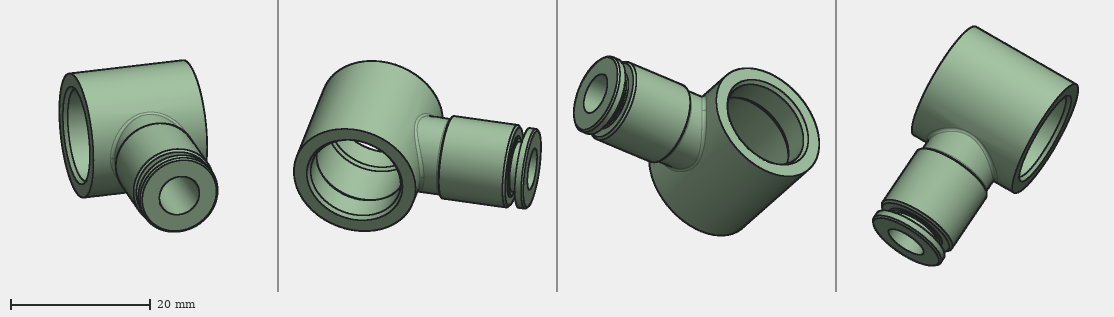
import cadquery as cq

overall_length = 33.2
ring_diameter = 18.0
ring_radius = ring_diameter / 2
ring_width = 17.0
bore_radius = 6.65
mouth_radius = 7.07
mouth_depth = 0.6

groove_width = 8.3
groove_depth = 0.33
groove_slope_length = 0.6

neck_radius = 5.5
neck_end = 11.2
neck_fillet = 0.5
shoulder_fillet = 0.4
body_start = 11.72
body_end = 21.55
body_radius = 6.0
body_lead_in = 0.13
body_chamfer = 0.33
collar_radius = 4.45
collar_tip_radius = 4.18
collar_length = 0.15
stem_radius = 3.65
flange_start = 23.0
flange_end = overall_length - ring_radius
flange_radius = 5.8
flange_chamfer = 0.25
passage_radius = 2.42
socket_radius = 3.0
socket_start = 7.47


def revolve_about_x(outline):
    """Turn a closed (axial, radial) outline around the branch axis."""
    return outline.close().revolve(360, (0, 0, 0), (1, 0, 0))


def make_neck():
    """Solid neck joined to the ring by a small fillet."""
    ring = cq.Workplane("XZ").circle(ring_radius).extrude(ring_width / 2, both=True)
    neck = cq.Workplane("YZ").circle(neck_radius).extrude(body_start)
    joined = ring.union(neck)
    junction_box = cq.selectors.BoxSelector(
        (ring_radius / 2, -body_radius, -body_radius),
        (ring_radius, body_radius, body_radius),
    )
    return joined.edges(junction_box).fillet(neck_fillet)


def make_branch():
    """Body, collar, stem and release flange of the push-in socket."""
    shoulder_radius = neck_radius + shoulder_fillet
    sag = shoulder_fillet * 0.5 ** 0.5
    shoulder_start = body_start - shoulder_fillet
    collar_end = body_end + collar_length
    outline = (
        cq.Workplane("XY")
        .moveTo(neck_end, 0)
        .lineTo(neck_end, neck_radius)
        .lineTo(shoulder_start, neck_radius)
        .threePointArc(
            (shoulder_start + sag, shoulder_radius - sag),
            (body_start, shoulder_radius),
        )
        .lineTo(body_start + body_lead_in, body_radius)
        .lineTo(body_end - body_chamfer, body_radius)
        .lineTo(body_end, body_radius - body_chamfer)
        .lineTo(body_end, collar_radius)
        .lineTo(collar_end, collar_tip_radius)
        .lineTo(collar_end, stem_radius)
        .lineTo(flange_start, stem_radius)
        .lineTo(flange_start, flange_radius)
        .lineTo(flange_end - flange_chamfer, flange_radius)
        .lineTo(flange_end, flange_radius - flange_chamfer)
        .lineTo(flange_end, 0)
    )
    return revolve_about_x(outline)


def make_ring_bore():
    """Cutter for the ring bore, its chamfered mouths and its groove."""
    end = ring_width / 2
    groove_end = groove_width / 2
    groove_floor_end = groove_end - groove_slope_length
    groove_radius = bore_radius + groove_depth
    half_profile = [
        (mouth_radius, end),
        (bore_radius, end - mouth_depth),
        (bore_radius, groove_end),
        (groove_radius, groove_floor_end),
    ]
    mirrored = [(radius, -y) for radius, y in reversed(half_profile)]
    profile = [(0, end)] + half_profile + mirrored + [(0, -end)]
    return cq.Workplane("XY").polyline(profile).close().revolve(360, (0, 0, 0), (0, 1, 0))


def make_passage():
    """Cutter for the flow passage and the wider tube socket behind it."""
    passage = cq.Workplane("YZ").circle(passage_radius).extrude(socket_start)
    socket = (
        cq.Workplane("YZ")
        .workplane(offset=socket_start)
        .circle(socket_radius)
        .extrude(flange_end - socket_start)
    )
    return passage.union(socket)


result = make_neck().union(make_branch()).cut(make_ring_bore()).cut(make_passage())